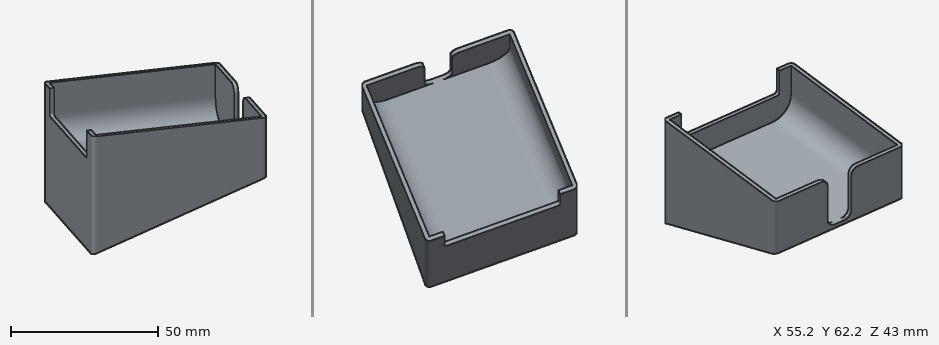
import cadquery as cq

wall = 1.6
cavity_width = 52.0
cavity_length = 59.0
cavity_depth = 20.0
cavity_floor_radius = 8.0

body_width = cavity_width + 2 * wall
body_length = cavity_length + 2 * wall
front_height = 43.0
back_height = cavity_depth + wall
outer_corner_radius = wall

notch_width = 42.0
notch_depth = 10.0
notch_corner_radius = 1.0

slot_width = 10.0
slot_depth = cavity_depth
slot_radius = 3.0


def make_body():
    """Solid wedge with a flat top, a sloping underside and rounded upright edges."""
    front = -body_length / 2
    back = body_length / 2
    side_profile = [(front, 0), (back, 0), (back, -back_height), (front, -front_height)]
    wedge = cq.Workplane("YZ").polyline(side_profile).close().extrude(body_width / 2, both=True)
    return wedge.edges("|Z").fillet(outer_corner_radius)


def make_cavity():
    """Open-topped pocket whose two long floor edges are rounded."""
    pocket = cq.Workplane("XY").box(
        cavity_width, cavity_length, cavity_depth, centered=(True, True, False)
    )
    pocket = pocket.edges("|Y and <Z").fillet(cavity_floor_radius)
    return pocket.translate((0, 0, -cavity_depth))


def make_front_notch():
    """Notch through the front wall with small rounds in its lower corners."""
    notch = cq.Workplane("XY").box(notch_width, wall, notch_depth)
    notch = notch.edges("|Y and <Z").fillet(notch_corner_radius)
    return notch.translate((0, -(body_length - wall) / 2, -notch_depth / 2))


def make_back_slot():
    """Slot through the back wall, rounded inward at the floor and outward at the rim."""
    half = slot_width / 2
    flare = half + slot_radius
    narrow = half - slot_radius
    outline = (
        cq.Workplane("XZ", origin=(0, body_length / 2, 0))
        .moveTo(-flare, 0)
        .radiusArc((-half, -slot_radius), slot_radius)
        .lineTo(-half, slot_radius - slot_depth)
        .radiusArc((-narrow, -slot_depth), -slot_radius)
        .lineTo(narrow, -slot_depth)
        .radiusArc((half, slot_radius - slot_depth), -slot_radius)
        .lineTo(half, -slot_radius)
        .radiusArc((flare, 0), slot_radius)
        .close()
    )
    return outline.extrude(wall)


result = make_body().cut(make_cavity()).cut(make_front_notch()).cut(make_back_slot())